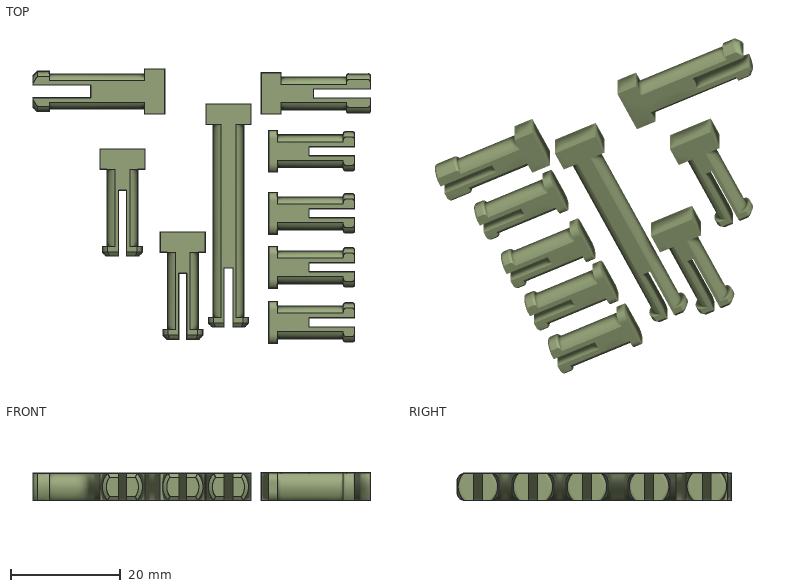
import cadquery as cq

SET_LENGTH = 61.4
SET_WIDTH = 49.9

THICKNESS = 5.0

HEAD_WIDTH = 8.2
HEAD_LENGTH = 3.75

WIDE_LENGTH = 24.0
WIDE_SHANK_DIAMETER = 6.4
WIDE_TIP_DIAMETER = 7.35
WIDE_TIP_LENGTH = 3.0
WIDE_TIP_CHAMFER = 0.8
WIDE_SLOT_WIDTH = 2.3
WIDE_SLOT_LENGTH = 10.5
WIDE_CENTRE_Y = SET_WIDTH - HEAD_WIDTH / 2

SLIM_SHANK_DIAMETER = 5.65
SLIM_TIP_DIAMETER = 7.3
SLIM_TIP_LENGTH = 1.8
SLIM_TIP_CHAMFER = 0.75

SHORT_LENGTH = 19.5
SHORT_SLOT_WIDTH = 1.4
SHORT_SLOT_LENGTH = 12.0
SHORT_PLACES = [(16.3, 35.4), (27.25, 20.25)]

LONG_LENGTH = 40.6
LONG_SLOT_WIDTH = 1.6
LONG_SLOT_LENGTH = 10.75
LONG_PLACE = (35.55, 43.55)

ROUND_SHANK_DIAMETER = 6.0
ROUND_TIP_DIAMETER = 7.2
ROUND_TIP_FILLET = 0.5
ROUND_SLOT_WIDTH = 1.6

STUB_THICKNESS = 5.1
STUB_LENGTH = 19.9
STUB_HEAD_LENGTH = 3.6
STUB_HEAD_WIDTH = 7.55
STUB_TIP_LENGTH = 4.4
STUB_SLOT_LENGTH = 10.4
STUB_PLACE = (SET_LENGTH - STUB_LENGTH, 45.45)

BUTTON_LENGTH = 15.65
BUTTON_HEAD_LENGTH = 1.6
BUTTON_HEAD_WIDTH = 7.6
BUTTON_HEAD_FILLET = 1.55
BUTTON_TIP_LENGTH = 2.1
BUTTON_SLOT_LENGTH = 8.3
BUTTON_X = 42.85
BUTTON_CENTRES_Y = [BUTTON_HEAD_WIDTH / 2, 13.8, 23.65, 34.95]


def block(start, length, width, thickness):
    """Box along +X from `start`, centred on Y = 0 and standing on Z = 0."""
    return cq.Workplane("XY", origin=(start, 0, 0)).box(
        length, width, thickness, centered=(False, True, False)
    )


def rod(start, length, diameter, thickness):
    """Round rod along +X whose axis lies halfway up the pin thickness."""
    return (
        cq.Workplane("YZ", origin=(start, 0, thickness / 2))
        .circle(diameter / 2)
        .extrude(length)
    )


def flattened(body, length, width, thickness):
    """Trim a round body to the top and bottom flats of the pin."""
    return body.intersect(block(0, length, width, thickness))


def split_pin(
    head, tip, length, tip_length, shank_diameter, slot_width, slot_length, thickness=THICKNESS
):
    """Join head, flattened shank and tip, then split the tip end with a slot.

    The shank ends at the inner face of the tip, so it leaves the edges of the tip as they are.
    """
    shank_length = length - tip_length
    shank = rod(0, shank_length, shank_diameter, thickness)
    shank = flattened(shank, shank_length, shank_diameter, thickness)
    slot = block(length - slot_length, slot_length, slot_width, thickness)
    return head.union(shank).union(tip).cut(slot)


def wide_pin():
    """Tip chamfered on its round edge only, so the flats run out to the end face."""
    head = block(0, HEAD_LENGTH, HEAD_WIDTH, THICKNESS)
    tip = rod(WIDE_LENGTH - WIDE_TIP_LENGTH, WIDE_TIP_LENGTH, WIDE_TIP_DIAMETER, THICKNESS)
    tip = tip.edges(">X").chamfer(WIDE_TIP_CHAMFER)
    tip = flattened(tip, WIDE_LENGTH, WIDE_TIP_DIAMETER, THICKNESS)
    pin = split_pin(
        head, tip, WIDE_LENGTH, WIDE_TIP_LENGTH,
        WIDE_SHANK_DIAMETER, WIDE_SLOT_WIDTH, WIDE_SLOT_LENGTH
    )
    return pin.rotate((0, 0, 0), (0, 0, 1), 180).translate((WIDE_LENGTH, WIDE_CENTRE_Y, 0))


def slim_pin(length, slot_width, slot_length, place):
    """Tip chamfered all round its end face, across the flats as well."""
    head = block(0, HEAD_LENGTH, HEAD_WIDTH, THICKNESS)
    tip = rod(length - SLIM_TIP_LENGTH, SLIM_TIP_LENGTH, SLIM_TIP_DIAMETER, THICKNESS)
    tip = flattened(tip, length, SLIM_TIP_DIAMETER, THICKNESS)
    tip = tip.faces(">X").edges().chamfer(SLIM_TIP_CHAMFER)
    pin = split_pin(
        head, tip, length, SLIM_TIP_LENGTH, SLIM_SHANK_DIAMETER, slot_width, slot_length
    )
    return pin.rotate((0, 0, 0), (0, 0, 1), -90).translate((*place, 0))


def round_tip(length, tip_length, thickness):
    """Tip with both round edges filleted before the flats are cut."""
    tip = rod(length - tip_length, tip_length, ROUND_TIP_DIAMETER, thickness)
    tip = tip.edges("%CIRCLE").fillet(ROUND_TIP_FILLET)
    return flattened(tip, length, ROUND_TIP_DIAMETER, thickness)


def stub_pin():
    head = block(0, STUB_HEAD_LENGTH, STUB_HEAD_WIDTH, STUB_THICKNESS)
    tip = round_tip(STUB_LENGTH, STUB_TIP_LENGTH, STUB_THICKNESS)
    pin = split_pin(
        head, tip, STUB_LENGTH, STUB_TIP_LENGTH,
        ROUND_SHANK_DIAMETER, ROUND_SLOT_WIDTH, STUB_SLOT_LENGTH, STUB_THICKNESS
    )
    return pin.translate((*STUB_PLACE, 0))


def button_pin(centre_y):
    """Pin with a thin head whose four corners are rounded."""
    head = block(0, BUTTON_HEAD_LENGTH, BUTTON_HEAD_WIDTH, THICKNESS)
    head = head.edges("|X").fillet(BUTTON_HEAD_FILLET)
    tip = round_tip(BUTTON_LENGTH, BUTTON_TIP_LENGTH, THICKNESS)
    pin = split_pin(
        head, tip, BUTTON_LENGTH, BUTTON_TIP_LENGTH,
        ROUND_SHANK_DIAMETER, ROUND_SLOT_WIDTH, BUTTON_SLOT_LENGTH
    )
    return pin.translate((BUTTON_X, centre_y, 0))


wide = wide_pin()
long_slim = slim_pin(LONG_LENGTH, LONG_SLOT_WIDTH, LONG_SLOT_LENGTH, LONG_PLACE)
short_slims = [
    slim_pin(SHORT_LENGTH, SHORT_SLOT_WIDTH, SHORT_SLOT_LENGTH, place) for place in SHORT_PLACES
]
stub = stub_pin()
buttons = [button_pin(centre_y) for centre_y in BUTTON_CENTRES_Y]

result = cq.Compound.makeCompound(
    [
        wide.val(),
        long_slim.val(),
        *[pin.val() for pin in short_slims],
        stub.val(),
        *[pin.val() for pin in buttons],
    ]
)